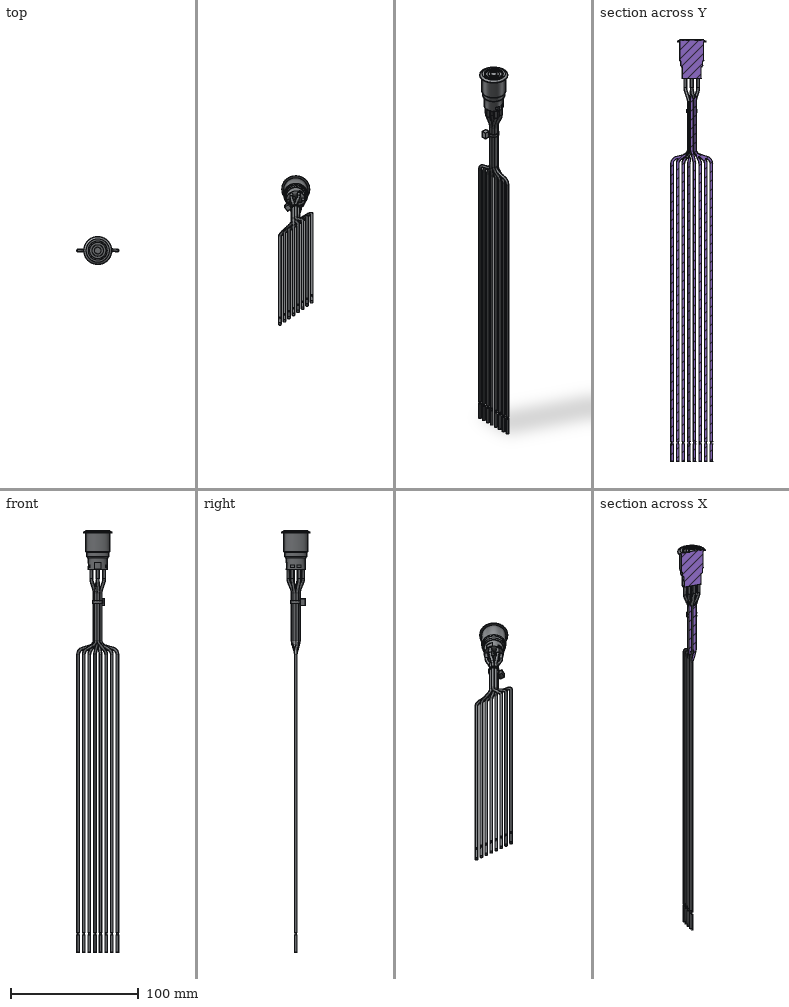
import cadquery as cq
import math

TOTAL_LENGTH = 330.5

LIP_DIAMETER = 22.0
FACE_DIAMETER = 18.2
SHELL_DIAMETER = 18.9
COLLAR_DIAMETER = 17.5
COLLAR_END_DIAMETER = 15.8
TAIL_DIAMETER = 15.0
LIP_CONE_END = -1.0
LIP_END = -1.6
SHELL_END = -16.3
COLLAR_START = -17.2
COLLAR_CONE_START = -20.3
COLLAR_END = -21.2
TAIL_END = -30.5

OUTER_GROOVE = (14.9, 12.8)
INNER_GROOVE = (9.0, 5.2)
GROOVE_DEPTH = 0.5

WINDOW_DEPTH = 0.3
FRONT_WINDOW_WIDTH = 5.0
FRONT_WINDOW_TOP = -25.0
FRONT_WINDOW_BOTTOM = -30.0
SIDE_WINDOW_WIDTH = 3.0
SIDE_WINDOW_TOP = -27.0
SIDE_WINDOW_BOTTOM = -29.0
SIDE_WINDOW_Y = 2.5

CONTACT_DIAMETER = 2.4
CONTACT_END = -37.5
CONTACT_RING_COUNT = 6
CONTACT_RING_RADIUS = 5.8
FIRST_CONTACT_ANGLE = 210
INNER_CONTACT_Y = 2.2
WIRE_DIAMETER = 2.2
CORE_DIAMETER = 1.5
CONTACT_EMBED = 0.5

RING_WIRES = 7
BUNDLE_RADIUS = 2.5
BUNDLE_TOP = -49.0
BUNDLE_BOTTOM = -86.0
GATHER_BEND_RADIUS = 8.0

WIRE_COUNT = RING_WIRES + 1
FAN_WIDTH = 33.0
LANE_PITCH = (FAN_WIDTH - WIRE_DIAMETER) / (WIRE_COUNT - 1)
FAN_END = -97.0
FAN_BEND_RADIUS = 4.8
STRIPPED_TOP = -315.0
STRIPPED_BOTTOM = -317.0

TIE_BORE = 7.3
TIE_DIAMETER = 8.1
TIE_MIDDLE = -56.0
TIE_WIDTH = 2.4
TIE_HEAD_HEIGHT = 5.4
TIE_HEAD_X = (1.6, 5.4)
TIE_HEAD_Y = (3.4, 7.5)


def cylinder(x, y, top, bottom, diameter):
    return cq.Workplane("XY", origin=(x, y, bottom)).circle(diameter / 2).extrude(top - bottom)


def block(x_range, y_range, bottom, top):
    length = x_range[1] - x_range[0]
    width = y_range[1] - y_range[0]
    corner = (x_range[0], y_range[0], bottom)
    return cq.Workplane("XY", origin=corner).box(length, width, top - bottom, centered=False)


def ring(outer_diameter, inner_diameter, bottom, height):
    return (
        cq.Workplane("XY", origin=(0, 0, bottom))
        .circle(outer_diameter / 2)
        .circle(inner_diameter / 2)
        .extrude(height)
    )


def connector_shell():
    outline = [
        (0, 0),
        (FACE_DIAMETER / 2, 0),
        (LIP_DIAMETER / 2, LIP_CONE_END),
        (LIP_DIAMETER / 2, LIP_END),
        (SHELL_DIAMETER / 2, LIP_END),
        (SHELL_DIAMETER / 2, SHELL_END),
        (COLLAR_DIAMETER / 2, COLLAR_START),
        (COLLAR_DIAMETER / 2, COLLAR_CONE_START),
        (COLLAR_END_DIAMETER / 2, COLLAR_END),
        (TAIL_DIAMETER / 2, COLLAR_END),
        (TAIL_DIAMETER / 2, TAIL_END),
        (0, TAIL_END),
    ]
    shell = cq.Workplane("XZ").polyline(outline).close().revolve(360, (0, 0, 0), (0, 1, 0))
    for outer, inner in (OUTER_GROOVE, INNER_GROOVE):
        shell = shell.cut(ring(outer, inner, -GROOVE_DEPTH, GROOVE_DEPTH))
    return shell.cut(tail_windows())


def tail_windows():
    """Curved skins of the tail, one on the -Y side and two on each X side."""
    radius = TAIL_DIAMETER / 2
    half_front = FRONT_WINDOW_WIDTH / 2
    half_side = SIDE_WINDOW_WIDTH / 2
    cutters = block((-half_front, half_front), (-radius, 0), FRONT_WINDOW_BOTTOM, FRONT_WINDOW_TOP)
    for y in (-SIDE_WINDOW_Y, SIDE_WINDOW_Y):
        y_range = (y - half_side, y + half_side)
        cutters = cutters.union(block((-radius, radius), y_range, SIDE_WINDOW_BOTTOM, SIDE_WINDOW_TOP))
    skin_diameter = TAIL_DIAMETER - 2 * WINDOW_DEPTH
    skin = ring(TAIL_DIAMETER, skin_diameter, TAIL_END, COLLAR_END - TAIL_END)
    return skin.intersect(cutters)


def polar(radius, degrees):
    angle = math.radians(degrees)
    return (radius * math.cos(angle), radius * math.sin(angle))


def bend_points(start, end, top, bottom, bend_radius):
    """Points of an S-bend: arc, straight run, arc, with vertical ends. Each arc has a middle point."""
    shift_x = end[0] - start[0]
    shift_y = end[1] - start[1]
    shift = math.hypot(shift_x, shift_y)
    drop = top - bottom
    straight = math.sqrt(shift**2 + drop**2 - 4 * bend_radius * shift)
    lean = math.atan2(shift - 2 * bend_radius, drop) + math.atan2(2 * bend_radius, straight)

    def along(side, down):
        part = side / shift
        return cq.Vector(start[0] + part * shift_x, start[1] + part * shift_y, top - down)

    def arc_offset(angle):
        return bend_radius * (1 - math.cos(angle)), bend_radius * math.sin(angle)

    half_side, half_down = arc_offset(lean / 2)
    full_side, full_down = arc_offset(lean)
    return [
        along(0, 0),
        along(half_side, half_down),
        along(full_side, full_down),
        along(shift - full_side, drop - full_down),
        along(shift - half_side, drop - half_down),
        along(shift, drop),
    ]


def bend_edges(points):
    return [
        cq.Edge.makeThreePointArc(*points[:3]),
        cq.Edge.makeLine(points[2], points[3]),
        cq.Edge.makeThreePointArc(*points[3:]),
    ]


def wire(contact, bundle, lane):
    """One wire from its contact, through the bundle, to its lane in the fan and its stripped end."""
    gather = bend_points(contact, bundle, CONTACT_END, BUNDLE_TOP, GATHER_BEND_RADIUS)
    fan = bend_points(bundle, lane, BUNDLE_BOTTOM, FAN_END, FAN_BEND_RADIUS)
    edges = [
        *bend_edges(gather),
        cq.Edge.makeLine(gather[-1], fan[0]),
        *bend_edges(fan),
        cq.Edge.makeLine(fan[-1], cq.Vector(*lane, STRIPPED_TOP)),
    ]
    path = cq.Workplane("XY").newObject([cq.Wire.assembleEdges(edges)])
    start = cq.Workplane("XY", origin=(*contact, CONTACT_END)).circle(WIRE_DIAMETER / 2)
    pin = cylinder(*contact, TAIL_END + CONTACT_EMBED, CONTACT_END, CONTACT_DIAMETER)
    core = cylinder(*lane, STRIPPED_TOP, STRIPPED_BOTTOM, CORE_DIAMETER)
    sleeve = cylinder(*lane, STRIPPED_BOTTOM, -TOTAL_LENGTH, WIRE_DIAMETER)
    return start.sweep(path).union(pin).union(core).union(sleeve)


def harness_body():
    places = [polar(BUNDLE_RADIUS, 180 + i * 360 / RING_WIRES) for i in range(RING_WIRES)]
    places.append((0.0, 0.0))
    hexagon = [
        polar(CONTACT_RING_RADIUS, FIRST_CONTACT_ANGLE + i * 360 / CONTACT_RING_COUNT)
        for i in range(CONTACT_RING_COUNT)
    ]
    contacts = [
        hexagon[0],
        (0, -INNER_CONTACT_Y),
        hexagon[1],
        hexagon[2],
        hexagon[3],
        hexagon[4],
        hexagon[5],
        (0, INNER_CONTACT_Y),
    ]
    body = connector_shell()
    pairs = sorted(zip(contacts, places), key=lambda pair: pair[1][0])
    middle_lane = (WIRE_COUNT - 1) / 2
    for i, (contact, place) in enumerate(pairs):
        lane = ((i - middle_lane) * LANE_PITCH, 0)
        body = body.union(wire(contact, place, lane))
    return body


def cable_tie():
    strap_bottom = TIE_MIDDLE - TIE_WIDTH / 2
    head_bottom = TIE_MIDDLE - TIE_HEAD_HEIGHT / 2
    strap = ring(TIE_DIAMETER, TIE_BORE, strap_bottom, TIE_WIDTH)
    head = block(TIE_HEAD_X, TIE_HEAD_Y, head_bottom, head_bottom + TIE_HEAD_HEIGHT)
    return strap.union(head)


harness = harness_body()
tie = cable_tie()

result = cq.Compound.makeCompound([*harness.solids().vals(), *tie.solids().vals()])